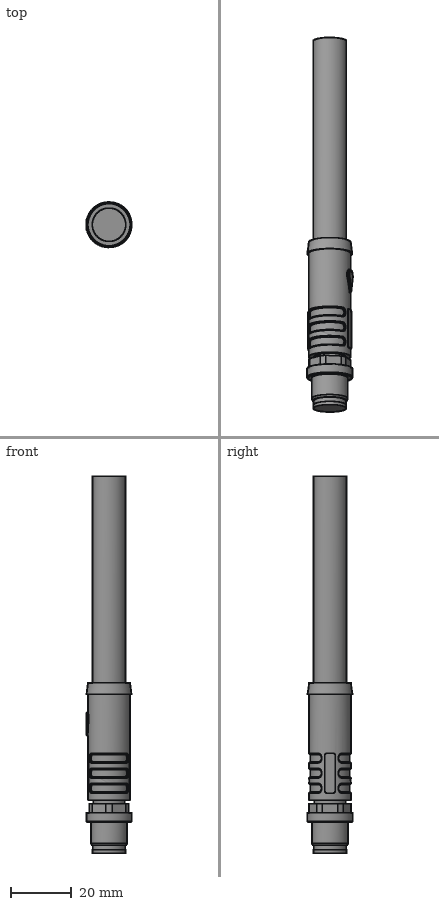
import cadquery as cq
import math

TOTAL_LENGTH = 124.09
CABLE_LENGTH = 68.0
GRIP_TOP = TOTAL_LENGTH - CABLE_LENGTH
GRIP_BOTTOM = 17.4

CABLE_RADIUS = 5.5

LIP_RADIUS = 5.45
LIP_TOP = 1.1
SHAFT_RADIUS = 5.4
NECK_RADIUS = 5.2

NUT_BOTTOM = 2.6
BARREL_RADIUS = 6.0
BARREL_CHAMFER_WIDTH = 0.4
BARREL_CHAMFER_HEIGHT = 0.7
FLANGE_RADIUS = 7.5
FLANGE_BOTTOM = 10.2
FLANGE_CHAMFER = 0.3
FLANGE_TOP = 13.3
HEX_ACROSS_FLATS = 13.0
HEX_CORNER_RADIUS = 7.0
NUT_TOP = 16.3

GRIP_RADIUS = 6.95
GRIP_BOTTOM_CHAMFER_WIDTH = 0.1
GRIP_BOTTOM_CHAMFER_HEIGHT = 0.4
COLLAR_BOTTOM = 52.3
COLLAR_TOP_RADIUS = GRIP_RADIUS
COLLAR_BOTTOM_RADIUS = 7.45

GROOVE_COUNT = 3
GROOVE_PITCH = 4.95
LOWEST_GROOVE_Z = 21.4
GROOVE_HEIGHT = 3.2
GROOVE_FLOOR_RADIUS = 6.5
GROOVE_WALL_SLOPE = 0.9
GROOVE_END_ANGLE = 35.0
GROOVE_TOOL_INNER = 6.0
GROOVE_TOOL_OUTER = 7.4

PAD_WIDTH = 3.4
PAD_CORNER_RADIUS = 0.7
PAD_FACE_X = 7.0
PAD_BOTTOM = LOWEST_GROOVE_Z - GROOVE_HEIGHT / 2
PAD_HEIGHT = (GROOVE_COUNT - 1) * GROOVE_PITCH + GROOVE_HEIGHT

MARK_FACE_X = 7.5
MARK_ROUND_RADIUS = 2.1
MARK_ROUND_Z = 44.3
MARK_TIP_RADIUS = 0.5
MARK_TIP_Z = 39.1
MARK_CHAMFER = 0.4

RAISED_ROOT_X = 5.0


def revolve_profile(points):
    """Turn an (r, z) outline about the Z axis."""
    return cq.Workplane("XZ").polyline(points).close().revolve(360, (0, 0, 0), (0, 1, 0))


def make_cable():
    return cq.Workplane("XY").workplane(offset=GRIP_TOP).circle(CABLE_RADIUS).extrude(CABLE_LENGTH)


def make_nut():
    turned = revolve_profile([
        (0, NUT_BOTTOM),
        (BARREL_RADIUS - BARREL_CHAMFER_WIDTH, NUT_BOTTOM),
        (BARREL_RADIUS, NUT_BOTTOM + BARREL_CHAMFER_HEIGHT),
        (BARREL_RADIUS, FLANGE_BOTTOM),
        (FLANGE_RADIUS - FLANGE_CHAMFER, FLANGE_BOTTOM),
        (FLANGE_RADIUS, FLANGE_BOTTOM + FLANGE_CHAMFER),
        (FLANGE_RADIUS, FLANGE_TOP),
        (0, FLANGE_TOP),
    ])
    hex_height = NUT_TOP - FLANGE_TOP
    hex_point_diameter = HEX_ACROSS_FLATS / math.cos(math.pi / 6)
    hex_plane = cq.Workplane("XY").workplane(offset=FLANGE_TOP)
    hexagon = hex_plane.transformed(rotate=(0, 0, 30)).polygon(6, hex_point_diameter).extrude(hex_height)
    hexagon = hexagon.intersect(hex_plane.circle(HEX_CORNER_RADIUS).extrude(hex_height))
    bore = cq.Workplane("XY").circle(NECK_RADIUS).extrude(NUT_TOP)
    return turned.union(hexagon).cut(bore)


def make_carrier():
    return revolve_profile([
        (0, 0),
        (LIP_RADIUS, 0),
        (LIP_RADIUS, LIP_TOP),
        (SHAFT_RADIUS, LIP_TOP),
        (SHAFT_RADIUS, NUT_BOTTOM),
        (NECK_RADIUS, NUT_BOTTOM),
        (NECK_RADIUS, GRIP_BOTTOM),
        (0, GRIP_BOTTOM),
    ])


def groove_half_height(radius):
    """Half the groove's height at a radius: its sloped walls open outwards."""
    return GROOVE_HEIGHT / 2 + GROOVE_WALL_SLOPE * (radius - GRIP_RADIUS)


def make_groove(z, side):
    """Groove wrapped round the -Y (side = -1) or +Y (side = 1) wall, with round ends and sloped walls."""
    inner_half = groove_half_height(GROOVE_TOOL_INNER)
    outer_half = groove_half_height(GROOVE_TOOL_OUTER)
    sweep_angle = 180 - 2 * GROOVE_END_ANGLE
    start_angle = GROOVE_END_ANGLE if side > 0 else 180 + GROOVE_END_ANGLE

    groove = (
        cq.Workplane("XZ")
        .polyline([
            (GROOVE_TOOL_INNER, -inner_half),
            (GROOVE_TOOL_OUTER, -outer_half),
            (GROOVE_TOOL_OUTER, outer_half),
            (GROOVE_TOOL_INNER, inner_half),
        ])
        .close()
        .revolve(sweep_angle, (0, 0, 0), (0, 1, 0))
        .rotate((0, 0, 0), (0, 0, 1), start_angle)
    )
    for end_angle in (start_angle, start_angle + sweep_angle):
        direction = cq.Vector(math.cos(math.radians(end_angle)), math.sin(math.radians(end_angle)), 0)
        cone = cq.Solid.makeCone(
            inner_half, outer_half, GROOVE_TOOL_OUTER - GROOVE_TOOL_INNER,
            direction * GROOVE_TOOL_INNER, direction,
        )
        groove = groove.union(cq.Workplane(cone))
    floor_core = cq.Workplane("XY").circle(GROOVE_FLOOR_RADIUS).extrude(GROOVE_HEIGHT, both=True)
    return groove.cut(floor_core).translate((0, 0, z))


def make_pad(side):
    """Flat rounded rectangle standing on the -X (side = -1) or +X (side = 1) wall."""
    depth = PAD_FACE_X - RAISED_ROOT_X
    center = (side * (RAISED_ROOT_X + depth / 2), 0, PAD_BOTTOM + PAD_HEIGHT / 2)
    pad = cq.Workplane("XY").box(depth, PAD_WIDTH, PAD_HEIGHT)
    return pad.edges("|X").fillet(PAD_CORNER_RADIUS).translate(center)


def make_mark():
    """Teardrop: a large round head and a small round tip joined by tangent sides."""
    sine = (MARK_ROUND_RADIUS - MARK_TIP_RADIUS) / (MARK_ROUND_Z - MARK_TIP_Z)
    cosine = math.sqrt(1 - sine ** 2)
    head_y = MARK_ROUND_RADIUS * cosine
    head_z = MARK_ROUND_Z - MARK_ROUND_RADIUS * sine
    tip_y = MARK_TIP_RADIUS * cosine
    tip_z = MARK_TIP_Z - MARK_TIP_RADIUS * sine
    return (
        cq.Workplane("YZ").workplane(offset=-MARK_FACE_X)
        .moveTo(tip_y, tip_z)
        .lineTo(head_y, head_z)
        .threePointArc((0, MARK_ROUND_Z + MARK_ROUND_RADIUS), (-head_y, head_z))
        .lineTo(-tip_y, tip_z)
        .threePointArc((0, MARK_TIP_Z - MARK_TIP_RADIUS), (tip_y, tip_z))
        .close()
        .extrude(MARK_FACE_X - RAISED_ROOT_X)
        .faces("<X").chamfer(MARK_CHAMFER)
    )


def make_grip():
    grip = revolve_profile([
        (0, GRIP_BOTTOM),
        (GRIP_RADIUS - GRIP_BOTTOM_CHAMFER_WIDTH, GRIP_BOTTOM),
        (GRIP_RADIUS, GRIP_BOTTOM + GRIP_BOTTOM_CHAMFER_HEIGHT),
        (GRIP_RADIUS, COLLAR_BOTTOM),
        (COLLAR_BOTTOM_RADIUS, COLLAR_BOTTOM),
        (COLLAR_TOP_RADIUS, GRIP_TOP),
        (0, GRIP_TOP),
    ])
    for index in range(GROOVE_COUNT):
        for side in (-1, 1):
            grip = grip.cut(make_groove(LOWEST_GROOVE_Z + index * GROOVE_PITCH, side))
    for side in (-1, 1):
        grip = grip.union(make_pad(side))
    return grip.union(make_mark())


cable = make_cable()
grip = make_grip()
carrier = make_carrier()
nut = make_nut()

result = cq.Compound.makeCompound([cable.val(), grip.val(), carrier.val(), nut.val()])